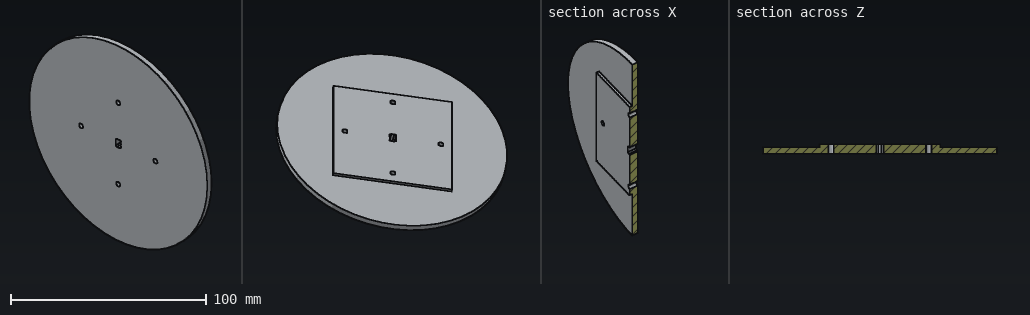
import cadquery as cq

disc_diameter = 120.0
total_thickness = 5.0
pad_height = 1.5
disc_thickness = total_thickness - pad_height

pad_side = 61.9

mount_hole_diameter = 2.6
mount_circle_diameter = 50.0
mount_hole_count = 4

bore_diameter = 5.2
bore_width = 3.5
bore_height = 4.9

front_y = -total_thickness / 2


def sketch_at_depth(depth):
    """Sketch parallel to the disc, at a depth behind the front face, facing +Y."""
    plane = cq.Plane(origin=(0, front_y + depth, 0), xDir=(1, 0, 0), normal=(0, 1, 0))
    return cq.Workplane(plane)


def cylinder(diameter, start_depth, length):
    """Cylinder on the disc axis, running towards the back."""
    return sketch_at_depth(start_depth).circle(diameter / 2).extrude(length)


def mount_holes():
    """Through holes spaced evenly about the disc axis."""
    return (
        sketch_at_depth(0)
        .polarArray(mount_circle_diameter / 2, 0, 360, mount_hole_count)
        .circle(mount_hole_diameter / 2)
        .extrude(total_thickness)
    )


def shaft_bore():
    """Round through bore limited by flats on its X and Z sides."""
    flats = sketch_at_depth(0).rect(bore_width, bore_height).extrude(total_thickness)
    return cylinder(bore_diameter, 0, total_thickness).intersect(flats)


disc = cylinder(disc_diameter, 0, disc_thickness)
pad = sketch_at_depth(disc_thickness).rect(pad_side, pad_side).extrude(pad_height)

result = disc.union(pad).cut(mount_holes()).cut(shaft_bore())